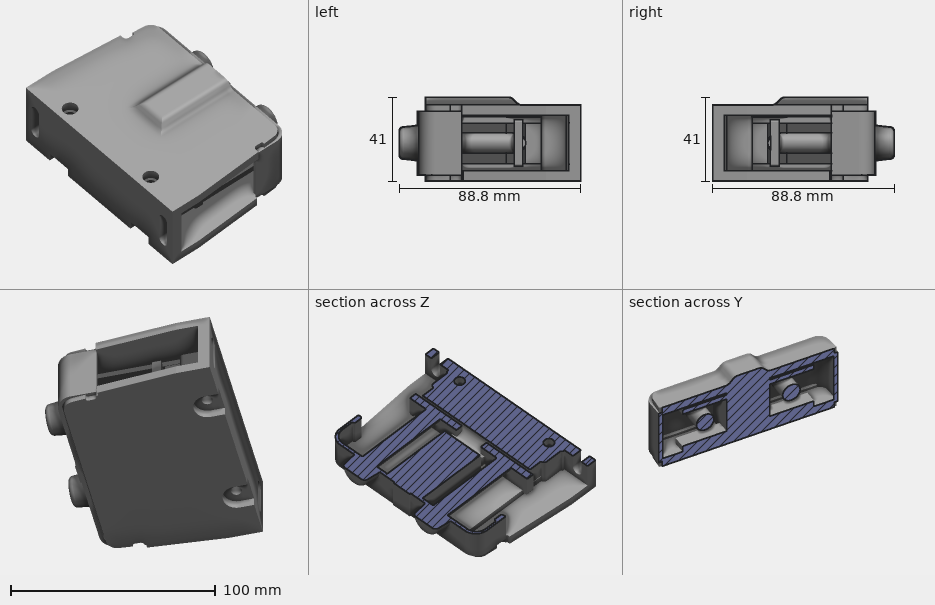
import cadquery as cq
import math

WIDTH = 110.0
HEIGHT = 37.2
MID_HEIGHT = HEIGHT / 2
PLATE = 5.1
FRONT_WALL = 5.8
TAPER_START = 16.9
LEDGE_Y = 58.1
BOTTOM_LEDGE_Y = 57.3
LEDGE_HALF_WIDTH = 51.7
PLATE_REAR = 75.9
PLATE_REAR_HALF_WIDTH = 48.3
PLATE_CORNER_RADIUS = 5.5
CAVITY_HEIGHT = HEIGHT - 2 * PLATE

BAND_HALF_WIDTH = 49.9
BAND_REAR = 79.1
BAND_SIDE = 1.4
BAND_BACK = 2.0
BAND_RADIUS = 7.7
BAND_MARGIN = 3.0
BAND_HEIGHT = HEIGHT - 2 * BAND_MARGIN
BAND_BUMP_DEPTH = 0.7
BEAD_X = 47.2
BEAD_FRONT_RADIUS = 1.3
BEAD_REAR = 63.8
BEAD_REAR_RADIUS = 1.0
NOTCH_X = 47.8
NOTCH_FRONT_RADIUS = 2.0

RIDGE_HALF_WIDTH = 12.8
RIDGE_FRONT = 28.7
RIDGE_HEIGHT = 3.8
RIDGE_RADIUS = 3.8
RIDGE_SLOPE = math.radians(45)
RIDGE_TOP_HALF_WIDTH = 5.6

SLOT_X = 48.0
SLOT_MID_HEIGHT = 18.4
SLOT_WIDTH = 5.7
SLOT_LENGTH = 20.1
SCREW_X = 30.2
SCREW_Y = 7.3
SCREW_RADIUS = 2.6
SCREW_HEAD_RADIUS = 4.1
SCREW_HEAD_DEPTH = PLATE
FOOT_RADIUS = 6.8
FOOT_DEPTH = 4.8

SCREW_BLOCK_HALF_WIDTH = 38.5
SCREW_BLOCK_REAR = 19.4
SCREW_BLOCK_FILLET = 2.1
WALL_PAD = 1.2
WALL_PAD_FILLET = 0.9
INSERT_HALF_WIDTH = 36.6
FLOOR_TOP = 8.5
RAIL_BOTTOM = 28.3
RAIL_TOP = 31.4
END_WALL_REAR = 27.1
END_WALL_RECESS = 0.2
FLOOR_REAR = 70.4
CORE_HALF_WIDTH = 12.1
CORE_FRONT_HALF_WIDTH = 11.0
CORE_STEP_Y = 36.3
CROSS_HOLE_Y = 31.9
CROSS_HOLE_RADIUS = 4.8
BACK_STEP_Y = 75.5
BACK_STEP_HEIGHT = 1.4
BACK_STEP_HALF_WIDTH = 44.9
BAND_INNER_REAR = BAND_REAR - BAND_BACK

BOLT_X = 24.0
SHAFT_RADIUS = 5.0
NUT_FRONT = 28.3
NUT_REAR = 32.6
NUT_HALF_WIDTH = 15.8
NUT_HEIGHT = 22.7
NUT_RADIUS = 1.1
KNOB_BASE_RADIUS = 8.7
KNOB_FOOT = 0.7
KNOB_NECK_RADIUS = 7.9
KNOB_NECK_Y = 86.2
KNOB_TOP_RADIUS = 5.7
KNOB_TOP_Y = 88.8

SIDES = (-1, 1)


def block(half_width, y0, y1, z0, z1):
    """Box centred on X = 0."""
    solid = cq.Workplane("XY").box(2 * half_width, y1 - y0, z1 - z0, centered=(True, False, False))
    return solid.translate((0, y0, z0))


def end_pads(inner_x, front_radius, z, height):
    """Mirrored pair of bars, rounded on the inside, reaching outwards from inner_x at the band ends."""
    outer_x = LEDGE_HALF_WIDTH
    pad = (
        cq.Workplane("XY")
        .box(outer_x - inner_x, BEAD_REAR - LEDGE_Y, height, centered=False)
        .translate((inner_x, LEDGE_Y, z))
    )
    pad = pad.edges("|Z and <X and <Y").fillet(front_radius)
    pad = pad.edges("|Z and <X and >Y").fillet(BEAD_REAR_RADIUS)
    return pad.union(pad.mirror("YZ"))


def tapered_slab(ledge_y, z, height):
    half = WIDTH / 2
    return (
        cq.Workplane("XY", origin=(0, 0, z))
        .polyline([
            (-half, 0), (half, 0), (half, TAPER_START), (LEDGE_HALF_WIDTH, ledge_y),
            (-LEDGE_HALF_WIDTH, ledge_y), (-half, TAPER_START),
        ])
        .close()
        .extrude(height)
    )


def make_cover():
    lower = tapered_slab(BOTTOM_LEDGE_Y, 0, MID_HEIGHT)
    upper = tapered_slab(LEDGE_Y, MID_HEIGHT, MID_HEIGHT)
    rear = (
        cq.Workplane("XY")
        .polyline([
            (-BAND_HALF_WIDTH, BOTTOM_LEDGE_Y), (BAND_HALF_WIDTH, BOTTOM_LEDGE_Y),
            (PLATE_REAR_HALF_WIDTH, PLATE_REAR), (-PLATE_REAR_HALF_WIDTH, PLATE_REAR),
        ])
        .close()
        .extrude(HEIGHT)
        .edges("|Z and >Y")
        .fillet(PLATE_CORNER_RADIUS)
    )
    notches = end_pads(NOTCH_X, NOTCH_FRONT_RADIUS, 0, HEIGHT)
    cavity = block(WIDTH, FRONT_WALL, KNOB_TOP_Y, PLATE, PLATE + CAVITY_HEIGHT)
    return lower.union(upper).union(rear.cut(notches)).cut(cavity)


def make_band():
    outer = block(BAND_HALF_WIDTH, LEDGE_Y, BAND_REAR, BAND_MARGIN, BAND_MARGIN + BAND_HEIGHT)
    outer = outer.edges("|Z and >Y").fillet(BAND_RADIUS)
    inner = block(BAND_HALF_WIDTH - BAND_SIDE, LEDGE_Y, BAND_INNER_REAR, 0, HEIGHT)
    inner = inner.edges("|Z and >Y").fillet(BAND_RADIUS - BAND_SIDE)
    beads = outer.intersect(end_pads(BEAD_X, BEAD_FRONT_RADIUS, BAND_MARGIN, BAND_HEIGHT))
    bump = block(
        RIDGE_TOP_HALF_WIDTH, BAND_INNER_REAR, BAND_REAR + BAND_BUMP_DEPTH,
        BAND_MARGIN, BAND_MARGIN + BAND_HEIGHT,
    )
    return outer.cut(inner).union(beads).union(bump)


def ridge_flank(plane, foot, direction, far, length):
    """Prism bounded by one S-shaped flank that rises from foot; far is its plain end."""
    run = RIDGE_RADIUS * math.sin(RIDGE_SLOPE)
    rise = RIDGE_RADIUS * (1 - math.cos(RIDGE_SLOPE))
    half_run = RIDGE_RADIUS * math.sin(RIDGE_SLOPE / 2)
    half_rise = RIDGE_RADIUS * (1 - math.cos(RIDGE_SLOPE / 2))
    straight_run = (RIDGE_HEIGHT - 2 * rise) / math.tan(RIDGE_SLOPE)
    total_run = 2 * run + straight_run

    def point(distance, height):
        return (foot + direction * distance, HEIGHT + height)

    return (
        cq.Workplane(plane)
        .moveTo(*point(0, 0))
        .threePointArc(point(half_run, half_rise), point(run, rise))
        .lineTo(*point(run + straight_run, RIDGE_HEIGHT - rise))
        .threePointArc(point(total_run - half_run, RIDGE_HEIGHT - half_rise), point(total_run, RIDGE_HEIGHT))
        .lineTo(far, HEIGHT + RIDGE_HEIGHT)
        .lineTo(far, HEIGHT)
        .close()
        .extrude(length, both=True)
    )


def make_ridge():
    """The two sides and the front share one flank shape and meet in mitres."""
    right = ridge_flank("XZ", RIDGE_HALF_WIDTH, -1, 0, PLATE_REAR)
    across = right.union(right.mirror("YZ"))
    along = ridge_flank("YZ", RIDGE_FRONT, 1, PLATE_REAR, RIDGE_HALF_WIDTH)
    return across.intersect(along)


def make_screw_block():
    solid = block(SCREW_BLOCK_HALF_WIDTH, FRONT_WALL, SCREW_BLOCK_REAR, PLATE, PLATE + CAVITY_HEIGHT)
    solid = solid.edges("|Z and >Y").fillet(SCREW_BLOCK_FILLET)
    pad_half_width = SCREW_BLOCK_HALF_WIDTH + WALL_PAD_FILLET
    pad_rear = FRONT_WALL + WALL_PAD
    flare_rear = pad_rear + WALL_PAD_FILLET
    flare = block(pad_half_width, FRONT_WALL, flare_rear, PLATE, PLATE + CAVITY_HEIGHT)
    coves = (
        cq.Workplane("XY", origin=(0, 0, PLATE))
        .pushPoints([(side * pad_half_width, flare_rear) for side in SIDES])
        .circle(WALL_PAD_FILLET)
        .extrude(CAVITY_HEIGHT)
    )
    return solid.union(flare.cut(coves))


def make_insert():
    cavity_top = PLATE + CAVITY_HEIGHT
    floor = block(INSERT_HALF_WIDTH, FRONT_WALL, FLOOR_REAR, PLATE, FLOOR_TOP)
    roof = block(INSERT_HALF_WIDTH, FRONT_WALL, FLOOR_REAR, RAIL_BOTTOM, RAIL_TOP)
    end_wall = block(INSERT_HALF_WIDTH - END_WALL_RECESS, FRONT_WALL, END_WALL_REAR, PLATE, RAIL_TOP)
    core_front = block(CORE_FRONT_HALF_WIDTH, END_WALL_REAR, CORE_STEP_Y, PLATE, RAIL_TOP)
    core_rear = block(CORE_HALF_WIDTH, CORE_STEP_Y, BAND_INNER_REAR, PLATE, cavity_top)
    back_step = block(BACK_STEP_HALF_WIDTH, BACK_STEP_Y, BAND_INNER_REAR, PLATE, PLATE + BACK_STEP_HEIGHT)
    cross_hole = (
        cq.Workplane("YZ")
        .center(CROSS_HOLE_Y, MID_HEIGHT)
        .circle(CROSS_HOLE_RADIUS)
        .extrude(WIDTH, both=True)
    )
    insert = floor
    for piece in (roof, end_wall, core_front, core_rear, back_step):
        insert = insert.union(piece)
    return insert.cut(cross_hole)


def make_bolt(x):
    """Knob outside the band, shaft through it and a plate-shaped nut at the front end."""
    nut_bottom = MID_HEIGHT - NUT_HEIGHT / 2
    nut = block(NUT_HALF_WIDTH, NUT_FRONT, NUT_REAR, nut_bottom, nut_bottom + NUT_HEIGHT)
    nut = nut.edges("|Y").fillet(NUT_RADIUS).translate((x, 0, 0))
    knob_drop = KNOB_TOP_Y - KNOB_NECK_Y
    knob_inset = KNOB_NECK_RADIUS - KNOB_TOP_RADIUS
    diagonal = math.sqrt(0.5)
    turned = (
        cq.Workplane("XY")
        .moveTo(0, NUT_FRONT)
        .lineTo(SHAFT_RADIUS, NUT_FRONT)
        .lineTo(SHAFT_RADIUS, BAND_INNER_REAR)
        .lineTo(KNOB_BASE_RADIUS, BAND_INNER_REAR)
        .lineTo(KNOB_BASE_RADIUS, BAND_REAR + KNOB_FOOT)
        .lineTo(KNOB_NECK_RADIUS, KNOB_NECK_Y)
        .threePointArc(
            (KNOB_TOP_RADIUS + knob_inset * diagonal, KNOB_NECK_Y + knob_drop * diagonal),
            (KNOB_TOP_RADIUS, KNOB_TOP_Y),
        )
        .lineTo(0, KNOB_TOP_Y)
        .close()
        .revolve(360, (0, 0, 0), (0, 1, 0))
        .translate((x, 0, MID_HEIGHT))
    )
    return nut.union(turned)


def front_slot(x):
    return (
        cq.Workplane("XZ", origin=(x, FRONT_WALL, SLOT_MID_HEIGHT))
        .slot2D(SLOT_LENGTH, SLOT_WIDTH, 90)
        .extrude(FRONT_WALL)
    )


def screw_opening(x):
    """Through hole, head bore from above and a relief below that is open to the front."""
    hole = cq.Workplane("XY").center(x, SCREW_Y).circle(SCREW_RADIUS).extrude(HEIGHT)
    head = (
        cq.Workplane("XY", origin=(x, SCREW_Y, HEIGHT - SCREW_HEAD_DEPTH))
        .circle(SCREW_HEAD_RADIUS)
        .extrude(SCREW_HEAD_DEPTH)
    )
    foot = cq.Workplane("XY").center(x, SCREW_Y).circle(FOOT_RADIUS).extrude(FOOT_DEPTH)
    foot_mouth = block(FOOT_RADIUS, 0, SCREW_Y, 0, FOOT_DEPTH).translate((x, 0, 0))
    return hole.union(head).union(foot).union(foot_mouth)


body = make_cover()
for feature in (make_band(), make_ridge(), make_screw_block(), make_insert()):
    body = body.union(feature)
for side in SIDES:
    body = body.union(make_bolt(side * BOLT_X))
    body = body.cut(front_slot(side * SLOT_X))
    body = body.cut(screw_opening(side * SCREW_X))

result = body